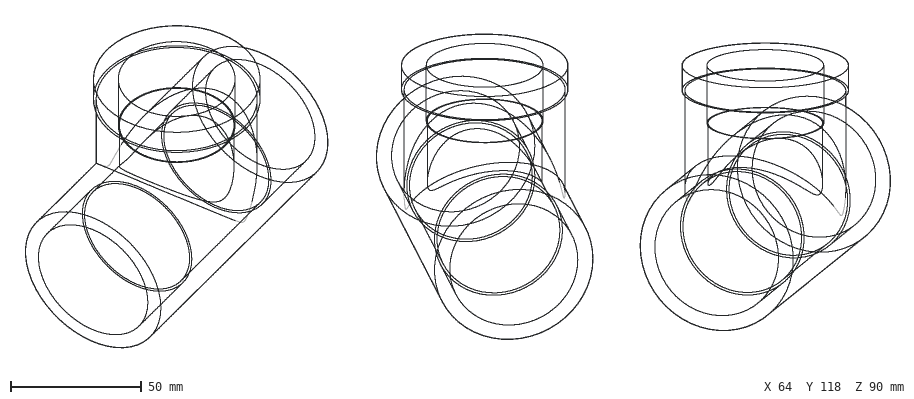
import cadquery as cq

run_length = 118.0
pipe_diameter = 62.0
pipe_bore = 48.0
socket_bore = 50.0
socket_depth = 31.0

branch_top = 59.0
branch_diameter = 61.8
collar_diameter = 64.0
collar_height = 10.0
branch_bore = 44.0
branch_socket_bore = 44.8
branch_socket_depth = 23.0


def run_cylinder(diameter, start, length):
    """Cylinder along +Y beginning at y = start."""
    plane = cq.Plane(origin=(0, start, 0), xDir=(1, 0, 0), normal=(0, 1, 0))
    return cq.Workplane(plane).circle(diameter / 2).extrude(length)


def branch_cylinder(diameter, bottom, top):
    """Cylinder along Z between two heights."""
    return cq.Workplane("XY").workplane(offset=bottom).circle(diameter / 2).extrude(top - bottom)


run_start = -run_length / 2
body = run_cylinder(pipe_diameter, run_start, run_length)
body = body.union(branch_cylinder(branch_diameter, 0, branch_top))
body = body.union(branch_cylinder(collar_diameter, branch_top - collar_height, branch_top))

body = body.cut(run_cylinder(pipe_bore, run_start, run_length))
for socket_start in (run_start, run_length / 2 - socket_depth):
    body = body.cut(run_cylinder(socket_bore, socket_start, socket_depth))

body = body.cut(branch_cylinder(branch_bore, 0, branch_top))
body = body.cut(branch_cylinder(branch_socket_bore, branch_top - branch_socket_depth, branch_top))

result = body